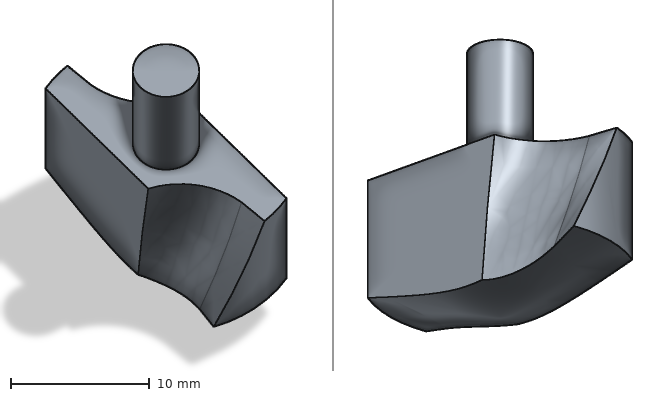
import cadquery as cq
import math

total_height = 21.1
head_diameter = 20.0
head_thickness = 7.17
head_top = 12.5
tip_height = 3.04
shank_diameter = 4.8
head_radius = head_diameter / 2

flute_start = (2.38, -head_thickness / 2)
flute_middle = (4.14, -0.85)
flute_end = (7.55, 0.85)
lip_slope = 5.0
twist_per_unit = 2.654
flute_reach = 16.88


def make_head():
    """Flat-sided slice of a cylinder with a conical point."""
    pointed_cylinder = (
        cq.Workplane("XZ")
        .polyline([(0, 0), (head_radius, tip_height), (head_radius, head_top), (0, head_top)])
        .close()
        .revolve(360, (0, 0), (0, 1))
    )
    slab = cq.Workplane("XY").box(
        head_diameter, head_thickness, head_top, centered=(True, True, False)
    )
    return pointed_cylinder.intersect(slab)


def make_flute_cutter():
    """Helical cutter whose outline reaches its untwisted position at the head top."""
    twist = twist_per_unit * head_top
    rim_y = flute_end[1] + (flute_reach - flute_end[0]) * math.tan(math.radians(lip_slope))
    return (
        cq.Workplane("XY")
        .transformed(rotate=(0, 0, -twist))
        .moveTo(*flute_start)
        .threePointArc(flute_middle, flute_end)
        .lineTo(flute_reach, rim_y)
        .lineTo(flute_reach, -flute_reach)
        .lineTo(flute_start[0], -flute_reach)
        .close()
        .twistExtrude(head_top, twist)
    )


def make_shank():
    """Plain round shank on top of the head."""
    return (
        cq.Workplane("XY")
        .workplane(offset=head_top)
        .circle(shank_diameter / 2)
        .extrude(total_height - head_top)
    )


flute = make_flute_cutter()
head = make_head()
for angle in (0, 180):
    head = head.cut(flute.rotate((0, 0, 0), (0, 0, 1), angle))

result = head.union(make_shank())